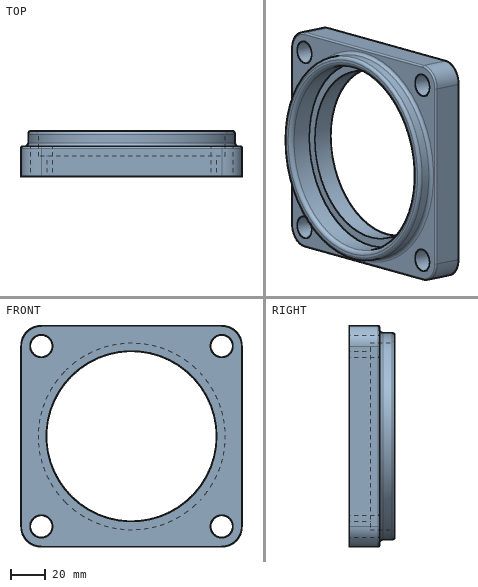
import cadquery as cq

plate_side = 130.0
plate_thickness = 18.0
plate_corner_radius = 12.0
plate_rear_fillet = 1.0

total_depth = 27.0
spigot_diameter = 122.0
spigot_end_fillet = 2.0
spigot_root_fillet = 2.0

bore_diameter = 100.0
bore_lip_depth = 12.5
recess_diameter = 110.0
recess_mouth_fillet = 2.5

bolt_hole_diameter = 13.0
bolt_spacing = plate_side - 2 * plate_corner_radius

smallest_radius = cq.selectors.RadiusNthSelector(0)
largest_radius = cq.selectors.RadiusNthSelector(-1)


def cylinder(diameter, y_start, y_end):
    """Cylinder on the Y axis between two depths."""
    start_plane = cq.Workplane("XZ", origin=(0, y_start, 0))
    return start_plane.circle(diameter / 2).extrude(y_start - y_end)


def make_plate():
    plate = cq.Workplane("XZ").rect(plate_side, plate_side).extrude(-plate_thickness)
    plate = plate.edges("|Y").fillet(plate_corner_radius)
    return plate.faces(">Y").edges().fillet(plate_rear_fillet)


def add_spigot(plate):
    body = plate.union(cylinder(spigot_diameter, 0, total_depth))
    body = body.faces(">Y").edges().fillet(spigot_end_fillet)
    root_edge = body.faces("+Y").edges("%CIRCLE").edges(largest_radius)
    return root_edge.fillet(spigot_root_fillet)


def cut_stepped_bore(body):
    body = body.cut(cylinder(bore_diameter, 0, total_depth))
    body = body.cut(cylinder(recess_diameter, bore_lip_depth, total_depth))
    mouth_edge = body.faces(">Y").edges(smallest_radius)
    return mouth_edge.fillet(recess_mouth_fillet)


def cut_bolt_holes(body):
    hole_centres = cq.Workplane("XZ").rect(bolt_spacing, bolt_spacing, forConstruction=True).vertices()
    holes = hole_centres.circle(bolt_hole_diameter / 2).extrude(-plate_thickness)
    return body.cut(holes)


plate_with_spigot = add_spigot(make_plate())
result = cut_bolt_holes(cut_stepped_bore(plate_with_spigot))